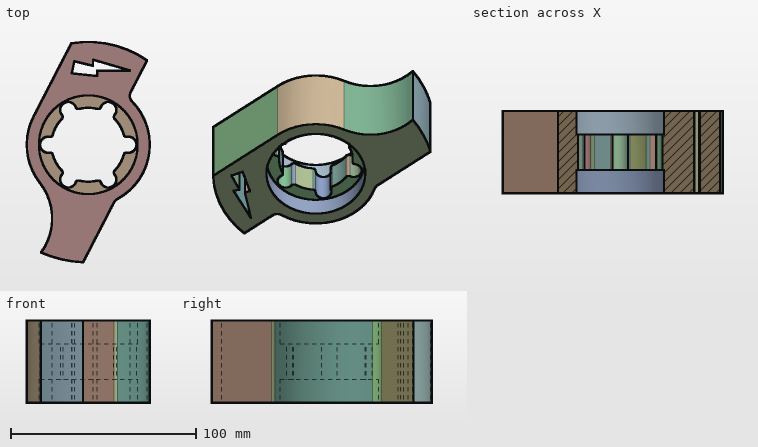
import cadquery as cq
import math

HEIGHT = 44.5
RING_DIAMETER = 66.5
RING_RADIUS = RING_DIAMETER / 2
HEAD_DIAMETER = 111.0
HEAD_RADIUS = HEAD_DIAMETER / 2
TAIL_RADIUS = 63.5
TAIL_END_ANGLE = 257
ARM_ANGLE = 62.7
HEAD_SIDE_OFFSET = 7.4
JOINT_FILLET = 4.3
HOLLOW_RADIUS = 31.2
HOLLOW_ANGLE = 218.1

BORE_DIAMETER = 53.3
COLLAR_HEIGHT = 19.3
COLLAR_HOLE_RADIUS = 19.9
LOBE_COUNT = 6
LOBE_RADIUS = 4.3
LOBE_PITCH_RADIUS = 21.7
LOBE_CORNER_FILLET = 1.5

TAIL_SIDE_OFFSET = BORE_DIAMETER / 2

BOLT_POINTS = [
    (-7.5, 45.0),
    (2.6, 42.5),
    (2.6, 45.8),
    (22.5, 40.0),
    (4.8, 40.0),
    (4.8, 37.1),
    (-8.8, 38.5),
]


def polar(radius, degrees):
    """Point at a given radius and angle about the bore axis."""
    angle = math.radians(degrees)
    return (radius * math.cos(angle), radius * math.sin(angle))


def arm_point(offset, along):
    """Point at a distance to the right of the arm axis and a distance along it."""
    right = polar(offset, ARM_ANGLE - 90)
    forward = polar(along, ARM_ANGLE)
    return (right[0] + forward[0], right[1] + forward[1])


def end_corner(offset, radius, direction):
    """Corner where a straight arm side meets the arm's rounded end."""
    return arm_point(offset, direction * math.sqrt(radius**2 - offset**2))


def joint_fillet(offset, direction):
    """Start, middle and end of the fillet from a straight arm side to the ring."""
    center_radius = RING_RADIUS + JOINT_FILLET
    center_offset = offset + JOINT_FILLET
    along = direction * math.sqrt(center_radius**2 - center_offset**2)
    center = arm_point(center_offset, along)
    on_side = arm_point(offset, along)
    on_ring = tuple(c * RING_RADIUS / center_radius for c in center)
    toward_middle = [(a + b) / 2 - c for a, b, c in zip(on_side, on_ring, center)]
    stretch = JOINT_FILLET / math.hypot(*toward_middle)
    middle = tuple(c + stretch * d for c, d in zip(center, toward_middle))
    return on_side, middle, on_ring


def tail_hollow():
    """Start, middle and end of the concave left side of the tail."""
    center_radius = RING_RADIUS + HOLLOW_RADIUS
    center = polar(center_radius, HOLLOW_ANGLE)
    cosine = center_radius**2 + TAIL_RADIUS**2 - HOLLOW_RADIUS**2
    cosine /= 2 * center_radius * TAIL_RADIUS
    corner = polar(TAIL_RADIUS, HOLLOW_ANGLE + math.degrees(math.acos(cosine)))
    middle = (center[0] + HOLLOW_RADIUS, center[1])
    return polar(RING_RADIUS, HOLLOW_ANGLE), middle, corner


def make_body():
    """Ring with both arms, drawn clockwise from the left tangent point."""
    head_left = end_corner(-RING_RADIUS, HEAD_RADIUS, 1)
    head_right = end_corner(HEAD_SIDE_OFFSET, HEAD_RADIUS, 1)
    tail_right = end_corner(TAIL_SIDE_OFFSET, TAIL_RADIUS, -1)
    head_side, head_middle, head_ring = joint_fillet(HEAD_SIDE_OFFSET, 1)
    tail_side, tail_middle, tail_ring = joint_fillet(TAIL_SIDE_OFFSET, -1)
    hollow_ring, hollow_middle, tail_left = tail_hollow()
    tail_end_middle = polar(TAIL_RADIUS, TAIL_END_ANGLE)
    return (
        cq.Workplane("XY")
        .moveTo(*arm_point(-RING_RADIUS, 0))
        .lineTo(*head_left)
        .threePointArc((0, HEAD_RADIUS), head_right)
        .lineTo(*head_side)
        .threePointArc(head_middle, head_ring)
        .threePointArc((RING_RADIUS, 0), tail_ring)
        .threePointArc(tail_middle, tail_side)
        .lineTo(*tail_right)
        .threePointArc(tail_end_middle, tail_left)
        .threePointArc(hollow_middle, hollow_ring)
        .threePointArc((-RING_RADIUS, 0), arm_point(-RING_RADIUS, 0))
        .close()
        .extrude(HEIGHT)
    )


def make_collar_hole():
    """Round core with evenly spaced lobes and rounded corners between them."""
    core = cq.Workplane("XY").circle(COLLAR_HOLE_RADIUS).extrude(HEIGHT)
    lobes = (
        cq.Workplane("XY")
        .polarArray(LOBE_PITCH_RADIUS, 0, 360, LOBE_COUNT)
        .circle(LOBE_RADIUS)
        .extrude(HEIGHT)
    )
    inner_corners = core.union(lobes).edges("|Z").edges(
        cq.selectors.BoxSelector(
            (-COLLAR_HOLE_RADIUS, -COLLAR_HOLE_RADIUS, 0),
            (COLLAR_HOLE_RADIUS, COLLAR_HOLE_RADIUS, HEIGHT),
        )
    )
    return inner_corners.fillet(LOBE_CORNER_FILLET)


def make_counterbore(bottom):
    """Full-diameter bore between the collar and one end face."""
    depth = (HEIGHT - COLLAR_HEIGHT) / 2
    return cq.Workplane("XY").workplane(offset=bottom).circle(BORE_DIAMETER / 2).extrude(depth)


def make_bolt_window():
    return cq.Workplane("XY").polyline(BOLT_POINTS).close().extrude(HEIGHT)


result = (
    make_body()
    .cut(make_collar_hole())
    .cut(make_counterbore(0))
    .cut(make_counterbore((HEIGHT + COLLAR_HEIGHT) / 2))
    .cut(make_bolt_window())
)